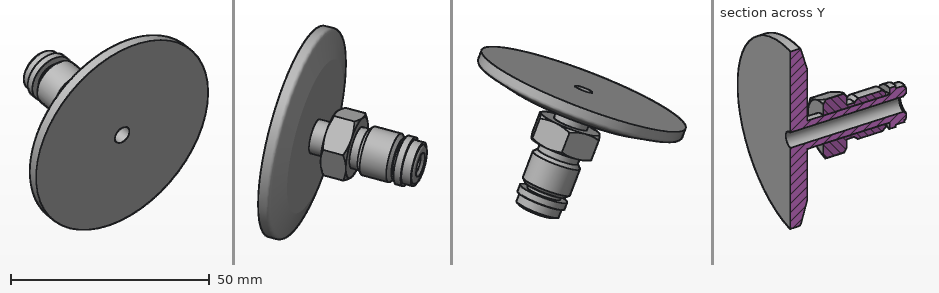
import cadquery as cq
import math

total_length = 33.3

tube_radius = 4.45
bore_radius = 2.3
mouth_radius = 3.15
bead_radius = 5.1
bead_length = 0.5
nose_radius = 5.7
collar_radius = 6.4
collar_start = 2.95
collar_end = 4.85

flange_radius = 27.5
flange_face_radius = 20.0
flange_thickness = 5.0
flange_cone_angle = 15.0
flange_edge_fillet = 1.0

barrel_start = 5.85
barrel_radius = 6.4
barrel_chamfer = 1.0
relief_start = 14.9
relief_radius = barrel_radius - barrel_chamfer
hex_start = 17.05
hex_length = 6.8
hex_across_flats = 15.85
hex_chamfer_angle = 30.0

mouth_depth = mouth_radius - bore_radius
flange_start = total_length - flange_thickness
flange_cone_length = (flange_radius - flange_face_radius) * math.tan(math.radians(flange_cone_angle))
hex_flat_radius = hex_across_flats / 2
hex_corner_radius = hex_flat_radius / math.cos(math.radians(30))
hex_chamfer_length = (hex_corner_radius - hex_flat_radius) * math.tan(math.radians(hex_chamfer_angle))


def cylinder(start, end, radius):
    """Solid cylinder along X between two stations."""
    return cq.Workplane("YZ", origin=(start, 0, 0)).circle(radius).extrude(end - start)


def revolve_profile(points):
    """Turn a closed (x, radius) outline about the X axis."""
    return cq.Workplane("XY").polyline(points).close().revolve(360, (0, 0, 0), (1, 0, 0))


def make_flange():
    """Disc with a conical front shoulder and a rounded rim."""
    cone_end = flange_start + flange_cone_length
    disc = revolve_profile([
        (flange_start, 0),
        (flange_start, flange_face_radius),
        (cone_end, flange_radius),
        (total_length, flange_radius),
        (total_length, 0),
    ])
    rim = cq.selectors.BoxSelector(
        (cone_end - flange_edge_fillet, -2 * flange_radius, -2 * flange_radius),
        (cone_end + flange_edge_fillet, 2 * flange_radius, 2 * flange_radius),
    )
    return disc.edges("%CIRCLE").edges(rim).fillet(flange_edge_fillet)


def make_bore():
    """Through bore with a 45 degree conical mouth at the nose."""
    return revolve_profile([
        (0, 0),
        (0, mouth_radius),
        (mouth_depth, bore_radius),
        (total_length, bore_radius),
        (total_length, 0),
    ])


def make_gland():
    bead = cylinder(0, collar_start, bead_radius).faces("<X").edges().fillet(bead_length)
    nose = cylinder(bead_length, collar_start, nose_radius)
    collar = cylinder(collar_start, collar_end, collar_radius)
    tube = cylinder(collar_end, flange_start, tube_radius)
    return bead.union(nose).union(collar).union(tube).union(make_flange()).cut(make_bore())


def make_hexagon():
    """Hexagon with corners at +Z and -Z, both ends chamfered by a cone."""
    hex_end = hex_start + hex_length
    prism = (
        cq.Workplane("YZ", origin=(hex_start, 0, 0))
        .transformed(rotate=(0, 0, 90))
        .polygon(6, 2 * hex_corner_radius)
        .extrude(hex_length)
    )
    chamfer_envelope = revolve_profile([
        (hex_start, 0),
        (hex_start, hex_flat_radius),
        (hex_start + hex_chamfer_length, hex_corner_radius),
        (hex_end - hex_chamfer_length, hex_corner_radius),
        (hex_end, hex_flat_radius),
        (hex_end, 0),
    ])
    return prism.intersect(chamfer_envelope)


def make_nut():
    barrel = cylinder(barrel_start, relief_start, barrel_radius).edges("%CIRCLE").chamfer(barrel_chamfer)
    relief = cylinder(relief_start, hex_start, relief_radius)
    tube_hole = cylinder(barrel_start, hex_start + hex_length, tube_radius)
    return barrel.union(relief).union(make_hexagon()).cut(tube_hole)


gland = make_gland()
nut = make_nut()

result = cq.Compound.makeCompound([gland.val(), nut.val()])